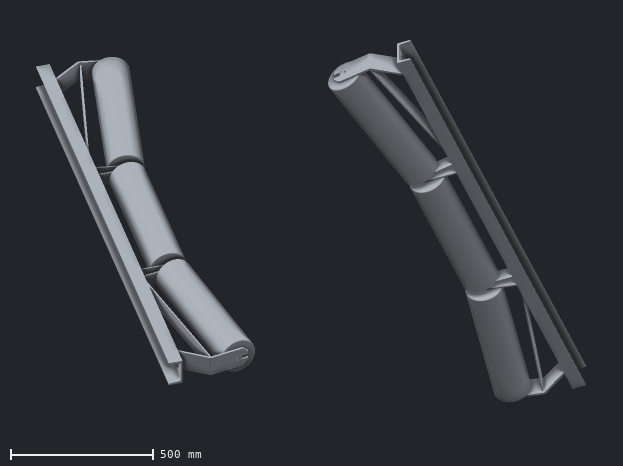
import cadquery as cq
import math


CHANNEL_LENGTH = 1710.0
CHANNEL_HEIGHT = 100.0
CHANNEL_DEPTH = 50.0
WEB_THICKNESS = 6.0
FLANGE_THICKNESS = 9.0
FLANGE_TAPER = 0.08
ROOT_RADIUS = 9.0
TOE_RADIUS = 4.5
SLOT_SPACING = 1638.0
SLOT_LENGTH = 36.0
SLOT_WIDTH = 15.0

ROLLER_LENGTH = 528.0
ROLLER_RADIUS = 67.0
ROLLER_EDGE_RADIUS = 5.0
SHAFT_RADIUS = 10.0
SHAFT_FLATS = 15.0
MIDDLE_AXIS_Y = 116.0
MIDDLE_AXIS_Z = -20.0
WING_TROUGH_ANGLE = 10.0
WING_TILT_ANGLE = 2.0
WING_INNER_X = 303.0
WING_INNER_LIFT = 5.0
WING_INNER_Y = MIDDLE_AXIS_Y + WING_INNER_LIFT
WING_INNER_Z = MIDDLE_AXIS_Z

INNER_THICKNESS = 6.0
INNER_WIDTH = 50.0
INNER_TOP_Y = 142.0
INNER_GAP = 6.0
INNER_BEND_RADIUS = 9.0

OUTER_THICKNESS = 8.0
OUTER_WIDTH = 77.0
OUTER_TOP_Y = 248.0
OUTER_BEND_Y = 103.0
OUTER_FOOT_ANGLE = 34.0
OUTER_BEND_RADIUS = 15.0
OUTER_GAP = 4.5
OUTER_CORNER = 20.0

BRACE_THICKNESS = 5.0
BRACE_WIDTH = 58.0
BRACE_TOP_Y = 113.0
BRACE_FOOT_X = 342.0

SIDES = (-1, 1)
INNER_REACH = INNER_GAP + INNER_THICKNESS
OUTER_REACH = OUTER_GAP + OUTER_THICKNESS
LEAN = math.tan(math.radians(WING_TROUGH_ANGLE))
COS_TROUGH = math.cos(math.radians(WING_TROUGH_ANGLE))


def mirrored(body, side):
    """The body as built on the +X side, or its mirror image on the -X side."""
    return body if side > 0 else body.mirror("YZ")


def strip(points, width, z_middle=0.0):
    """Closed outline in XY, extruded along Z about the height z_middle."""
    start_plane = cq.Workplane("XY").workplane(offset=z_middle - width / 2)
    return start_plane.polyline(points).close().extrude(width)


def make_channel():
    """Tapered-flange channel with an upright slot through the web near each end."""
    tip_y = -CHANNEL_DEPTH
    outer_z = CHANNEL_HEIGHT / 2
    toe_z = outer_z - FLANGE_THICKNESS + FLANGE_TAPER * CHANNEL_DEPTH / 2
    root_z = toe_z - FLANGE_TAPER * (CHANNEL_DEPTH - WEB_THICKNESS)
    section = [
        (0, outer_z), (tip_y, outer_z), (tip_y, toe_z), (-WEB_THICKNESS, root_z),
        (-WEB_THICKNESS, -root_z), (tip_y, -toe_z), (tip_y, -outer_z), (0, -outer_z),
    ]
    channel = (
        cq.Workplane("YZ").workplane(offset=-CHANNEL_LENGTH / 2)
        .polyline(section).close().extrude(CHANNEL_LENGTH)
    )
    roots = [(0, -WEB_THICKNESS, s * root_z) for s in SIDES]
    toes = [(0, tip_y, s * toe_z) for s in SIDES]
    for points, radius in ((roots, ROOT_RADIUS), (toes, TOE_RADIUS)):
        for point in points:
            channel = channel.edges(cq.selectors.NearestToPointSelector(point)).fillet(radius)
    slots = (
        cq.Workplane("XZ").pushPoints([(s * SLOT_SPACING / 2, 0) for s in SIDES])
        .slot2D(SLOT_LENGTH, SLOT_WIDTH, 90).extrude(WEB_THICKNESS)
    )
    return channel.cut(slots)


def roller_on_x(start_reach, end_reach):
    """Roller along +X from the origin; its flatted shaft reaches beyond both end faces."""
    drum = cq.Workplane("YZ").circle(ROLLER_RADIUS).extrude(ROLLER_LENGTH)
    drum = drum.edges().fillet(ROLLER_EDGE_RADIUS)
    shaft_length = start_reach + ROLLER_LENGTH + end_reach
    shaft_start = cq.Workplane("YZ").workplane(offset=-start_reach)
    shaft = shaft_start.circle(SHAFT_RADIUS).extrude(shaft_length)
    between_flats = shaft_start.rect(2 * SHAFT_RADIUS, SHAFT_FLATS).extrude(shaft_length)
    return drum.union(shaft.intersect(between_flats))


def shaft_slot_on_x(x_start, length):
    """Cutter for a round-bottomed slot that holds the flatted shaft and is open towards +Y."""
    bottom_radius = SHAFT_FLATS / 2
    flat_end_y = -math.sqrt(SHAFT_RADIUS**2 - bottom_radius**2)
    bottom = (
        cq.Workplane("YZ").workplane(offset=x_start)
        .center(flat_end_y, 0).circle(bottom_radius).extrude(length)
    )
    mouth = (
        cq.Workplane("XY").box(length, ROLLER_RADIUS, SHAFT_FLATS, centered=(False, False, True))
        .translate((x_start, flat_end_y, 0))
    )
    return bottom.union(mouth)


def on_middle_axis(body):
    """Move a body from the X axis to the axis of the middle roller."""
    return body.translate((-ROLLER_LENGTH / 2, MIDDLE_AXIS_Y, MIDDLE_AXIS_Z))


def on_wing_axis(body):
    """Move a body from the X axis to the axis of the +X wing roller."""
    tilted = body.rotate((0, 0, 0), (0, 1, 0), -WING_TILT_ANGLE)
    troughed = tilted.rotate((0, 0, 0), (0, 0, 1), WING_TROUGH_ANGLE)
    return troughed.translate((WING_INNER_X, WING_INNER_Y, WING_INNER_Z))


def leaning_x(distance, y):
    """X, at height y, of the plane square to the wing axis at a distance from the inner end face."""
    return WING_INNER_X + distance / COS_TROUGH - (y - WING_INNER_Y) * LEAN


def make_middle_roller():
    """Level roller between the two inner brackets."""
    return on_middle_axis(roller_on_x(INNER_REACH, INNER_REACH))


def make_wing_roller(side):
    """Raised and tilted roller between an inner and an outer bracket."""
    return mirrored(on_wing_axis(roller_on_x(INNER_REACH, OUTER_REACH)), side)


def make_inner_bracket(side):
    """Folded strip that holds the inner shaft end of a wing roller and one end of the middle roller."""
    upright_x = ROLLER_LENGTH / 2 + INNER_GAP
    under_top = INNER_TOP_Y - INNER_THICKNESS
    outside = [
        (upright_x, 0), (upright_x, INNER_TOP_Y),
        (leaning_x(-INNER_GAP, INNER_TOP_Y), INNER_TOP_Y), (leaning_x(-INNER_GAP, 0), 0),
    ]
    inside = [
        (upright_x + INNER_THICKNESS, 0), (upright_x + INNER_THICKNESS, under_top),
        (leaning_x(-INNER_REACH, under_top), under_top), (leaning_x(-INNER_REACH, 0), 0),
    ]
    block = strip(outside, INNER_WIDTH, MIDDLE_AXIS_Z).edges("|Z and >Y").fillet(INNER_BEND_RADIUS)
    core = strip(inside, INNER_WIDTH, MIDDLE_AXIS_Z)
    core = core.edges("|Z and >Y").fillet(INNER_BEND_RADIUS - INNER_THICKNESS)
    bracket = block.cut(core)
    bracket = bracket.cut(on_middle_axis(shaft_slot_on_x(ROLLER_LENGTH, INNER_REACH)))
    bracket = bracket.cut(on_wing_axis(shaft_slot_on_x(-INNER_REACH, INNER_REACH)))
    return mirrored(bracket, side)


def make_outer_bracket(side):
    """Bent plate that holds the outer shaft end of a wing roller."""
    near = ROLLER_LENGTH + OUTER_GAP
    far = near + OUTER_THICKNESS
    foot_angle = math.radians(OUTER_FOOT_ANGLE)
    plate_angle = math.radians(WING_TROUGH_ANGLE)
    foot_slope = math.tan(foot_angle)
    miter = OUTER_THICKNESS / math.cos((foot_angle + plate_angle) / 2)
    miter_angle = (foot_angle - plate_angle) / 2
    far_bend_x = leaning_x(far, OUTER_BEND_Y)
    near_bend_x = far_bend_x - miter * math.cos(miter_angle)
    near_bend_y = OUTER_BEND_Y + miter * math.sin(miter_angle)
    outline = [
        (leaning_x(far, OUTER_TOP_Y), OUTER_TOP_Y),
        (far_bend_x, OUTER_BEND_Y),
        (far_bend_x - OUTER_BEND_Y * foot_slope, 0),
        (near_bend_x - near_bend_y * foot_slope, 0),
        (near_bend_x, near_bend_y),
        (leaning_x(near, OUTER_TOP_Y), OUTER_TOP_Y),
    ]
    plate = strip(outline, OUTER_WIDTH)
    for point, radius in (
        ((far_bend_x, OUTER_BEND_Y, 0), OUTER_BEND_RADIUS),
        ((near_bend_x, near_bend_y, 0), OUTER_BEND_RADIUS - OUTER_THICKNESS),
    ):
        plate = plate.edges(cq.selectors.NearestToPointSelector(point)).fillet(radius)
    plate = plate.faces(">Y").edges("<Z or >Z").chamfer(OUTER_CORNER)
    slot_length = 2 * OUTER_REACH
    plate = plate.cut(on_wing_axis(shaft_slot_on_x(ROLLER_LENGTH, slot_length)))
    return mirrored(plate, side)


def make_brace(side):
    """Sloping strip from the bend of an outer bracket down to the channel web."""
    top_x = leaning_x(ROLLER_LENGTH + OUTER_GAP, BRACE_TOP_Y)
    angle = math.atan2(BRACE_TOP_Y, top_x - BRACE_FOOT_X)
    foot_span = BRACE_THICKNESS / math.sin(angle)
    rise = BRACE_THICKNESS / math.cos(angle)
    outline = [
        (BRACE_FOOT_X, 0), (BRACE_FOOT_X + foot_span, 0), (top_x, BRACE_TOP_Y - rise),
        (top_x, BRACE_TOP_Y),
    ]
    brace = strip(outline, BRACE_WIDTH)
    return mirrored(brace, side).cut(make_outer_bracket(side))


channel = make_channel()
rollers = [make_middle_roller()] + [make_wing_roller(side) for side in SIDES]
inner_brackets = [make_inner_bracket(side) for side in SIDES]
outer_brackets = [make_outer_bracket(side) for side in SIDES]
braces = [make_brace(side) for side in SIDES]

bodies = [channel, *rollers, *inner_brackets, *outer_brackets, *braces]
result = cq.Compound.makeCompound([body.val() for body in bodies])